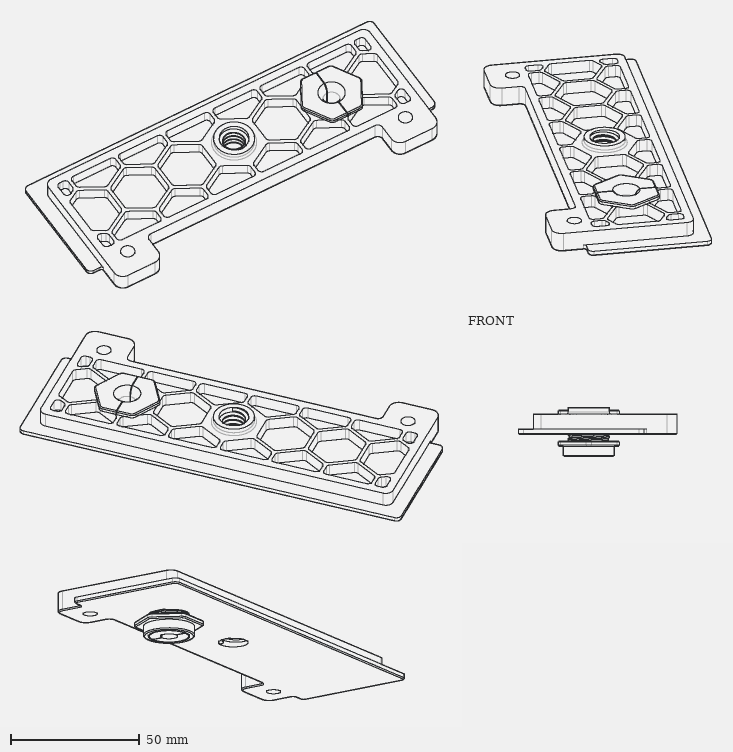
import cadquery as cq
import math

PLATE_LENGTH = 158.6
PLATE_LEFT = -27.5
PLATE_THICKNESS = 2.0
PLATE_CORNER_RADIUS = 2.0
BOTTOM_CHAMFER = 0.5

FRAME_WIDTH = 43.1
FRAME_LENGTH = 146.5
FRAME_TOP = 8.0
FRAME_CORNER_RADIUS = 3.0
FRAME_RIGHT = FRAME_WIDTH / 2

TAB_RIGHT = 34.4
TAB_LENGTH = 20.1
TAB_CORNER_RADIUS = 4.0
TAB_INNER_RADIUS = 2.0
TAB_PLATE_RADIUS = 1.0
TAB_HOLE_DIAMETER = 5.5
TAB_HOLE_X = 24.3
TAB_HOLE_Y = 63.3

POCKET_AREA_WIDTH = 36.5
POCKET_AREA_LENGTH = 139.9
POCKET_FLOOR = 3.0
CELL_ACROSS_FLATS = 20.0
RIB_THICKNESS = 1.5
CELL_CORNER_RADIUS = 1.6
CELL_PITCH = CELL_ACROSS_FLATS + RIB_THICKNESS
COLUMN_PITCH = CELL_PITCH * math.sqrt(3) / 2
MIDDLE_ROWS = (-3, -2, -1, 1, 3)
SIDE_ROWS = (-3.5, -2.5, -1.5, -0.5, 0.5, 1.5, 2.5, 3.5)

BOSS_DIAMETER = 16.0
BOSS_TOP = 10.5
BOSS_FILLET = 0.8
BOSS_MINOR_DIAMETER = 9.0
BOSS_MAJOR_DIAMETER = 11.5
BOSS_THREAD_PITCH = 2.0

CLAMP_Y = 44.4
HEX_ACROSS_FLATS = 24.0
HEX_CORNER_RADIUS = 2.0
HEX_CHAMFER = 0.5
CLAMP_HEAD_TOP = 9.5
CLAMP_MAJOR_DIAMETER = 16.2
CLAMP_MINOR_DIAMETER = 15.2
CLAMP_THREAD_PITCH = 1.9
CABLE_HOLE_DIAMETER = 6.7
CABLE_RIM_DIAMETER = 10.6
CABLE_FLARE_DEPTH = 4.0
SPLIT_GAP = 0.3
NUT_TOP = -2.5
NUT_FLANGE_THICKNESS = 2.0
NUT_COLLAR_DIAMETER = 20.0
NUT_BOTTOM = -8.5

THREAD_OVERLAP = 0.2
CREST_SHARE = 0.25
ROOT_SHARE = 0.85


def box(left, right, front, back, bottom, top):
    """Box between six coordinates."""
    return (
        cq.Workplane("XY", origin=(left, front, bottom))
        .box(right - left, back - front, top - bottom, centered=False)
    )


def cylinder(diameter, bottom, top, x=0.0, y=0.0):
    """Upright cylinder between two heights."""
    return cq.Workplane("XY", origin=(x, y, bottom)).circle(diameter / 2).extrude(top - bottom)


def hexagon(across_flats, corner_radius, bottom, top):
    """Hexagonal prism on the Z axis with rounded corners that point to +X and -X."""
    return (
        cq.Workplane("XY", origin=(0, 0, bottom))
        .polygon(6, across_flats * 2 / math.sqrt(3))
        .extrude(top - bottom)
        .edges("|Z").fillet(corner_radius)
    )


def helical_ridge(base_radius, tip_radius, pitch, bottom, top):
    """Thread profile swept along a helix from its base radius to its tip radius."""
    half_base = pitch * ROOT_SHARE / 2
    half_tip = pitch * CREST_SHARE / 2
    helix = cq.Wire.makeHelix(pitch, top - bottom, base_radius, center=cq.Vector(0, 0, bottom))
    profile = (
        cq.Workplane("XZ")
        .polyline([
            (base_radius, bottom - half_base),
            (tip_radius, bottom - half_tip),
            (tip_radius, bottom + half_tip),
            (base_radius, bottom + half_base),
        ])
        .close()
    )
    return profile.sweep(cq.Workplane(helix), isFrenet=True)


def honeycomb_pockets():
    """Hexagonal cells clipped to the pocket area, with rounded upright corners."""
    centres = [(0.0, row * CELL_PITCH) for row in MIDDLE_ROWS]
    centres += [(side * COLUMN_PITCH, row * CELL_PITCH) for side in (-1, 1) for row in SIDE_ROWS]
    area = box(
        -POCKET_AREA_WIDTH / 2, POCKET_AREA_WIDTH / 2,
        -POCKET_AREA_LENGTH / 2, POCKET_AREA_LENGTH / 2,
        POCKET_FLOOR, FRAME_TOP,
    )
    cells = (
        cq.Workplane("XY", origin=(0, 0, POCKET_FLOOR))
        .pushPoints(centres)
        .polygon(6, CELL_ACROSS_FLATS * 2 / math.sqrt(3))
        .extrude(FRAME_TOP - POCKET_FLOOR)
    )
    return cells.intersect(area).edges("|Z").fillet(CELL_CORNER_RADIUS)


def make_tab(side):
    """Mounting tab at one end of the frame; side is +1 or -1 along Y."""
    outer_y = side * FRAME_LENGTH / 2
    inner_y = side * (FRAME_LENGTH / 2 - TAB_LENGTH)
    tab = box(0, TAB_RIGHT, min(outer_y, inner_y), max(outer_y, inner_y), 0, FRAME_TOP)
    return tab.edges("|Z and >X").fillet(TAB_CORNER_RADIUS)


def upright_edges_at(body, x, y):
    """Upright edges of the body that stand at one point of the XY plane."""
    reach = 0.02
    corner = cq.selectors.BoxSelector((x - reach, y - reach, -1.6), (x + reach, y + reach, FRAME_TOP + 1.6))
    return body.edges("|Z").edges(corner)


def make_base():
    """Plate, ribbed frame, mounting tabs and threaded boss as one solid."""
    plate = box(PLATE_LEFT, FRAME_RIGHT, -PLATE_LENGTH / 2, PLATE_LENGTH / 2, 0, PLATE_THICKNESS)
    plate = plate.edges("|Z").fillet(PLATE_CORNER_RADIUS)
    frame = box(-FRAME_RIGHT, FRAME_RIGHT, -FRAME_LENGTH / 2, FRAME_LENGTH / 2, 0, FRAME_TOP)
    frame = frame.edges("|Z and <X").fillet(FRAME_CORNER_RADIUS)
    base = plate.union(frame)
    for side in (-1, 1):
        base = base.union(make_tab(side))
    for side in (-1, 1):
        inner_y = side * (FRAME_LENGTH / 2 - TAB_LENGTH)
        base = upright_edges_at(base, FRAME_RIGHT, inner_y).fillet(TAB_INNER_RADIUS)
        base = upright_edges_at(base, FRAME_RIGHT, side * FRAME_LENGTH / 2).fillet(TAB_PLATE_RADIUS)
    base = base.faces("<Z").edges().chamfer(BOTTOM_CHAMFER)

    base = base.cut(honeycomb_pockets())
    base = base.union(cylinder(BOSS_DIAMETER, 0, BOSS_TOP))
    boss_foot = cq.selectors.BoxSelector(
        (-BOSS_DIAMETER, -BOSS_DIAMETER, FRAME_TOP - 0.02),
        (BOSS_DIAMETER, BOSS_DIAMETER, FRAME_TOP + 0.02),
    )
    base = base.edges("%CIRCLE").edges(boss_foot).edges(cq.selectors.RadiusNthSelector(-1)).fillet(BOSS_FILLET)

    for side in (-1, 1):
        base = base.cut(cylinder(TAB_HOLE_DIAMETER, 0, FRAME_TOP, TAB_HOLE_X, side * TAB_HOLE_Y))
    base = base.cut(cylinder(CLAMP_MAJOR_DIAMETER, 0, FRAME_TOP, 0, CLAMP_Y))
    return add_boss_thread(base)


def add_boss_thread(base):
    """Through hole in the boss with a helical ridge that stands inwards from its wall."""
    ridge_end = BOSS_THREAD_PITCH * ROOT_SHARE / 2 + THREAD_OVERLAP
    ridge = helical_ridge(
        BOSS_MAJOR_DIAMETER / 2 + THREAD_OVERLAP, BOSS_MINOR_DIAMETER / 2,
        BOSS_THREAD_PITCH, ridge_end, BOSS_TOP - ridge_end,
    )
    return base.cut(cylinder(BOSS_MAJOR_DIAMETER, 0, BOSS_TOP)).union(ridge)


def hexagonal_flange(bottom, top):
    """Hexagon shared by the clamp head and the nut, with its corners towards +Y and -Y."""
    return hexagon(HEX_ACROSS_FLATS, HEX_CORNER_RADIUS, bottom, top).rotate((0, 0, 0), (0, 0, 1), 90)


def cable_hole():
    """Round hole through the clamp that flares out at the top along a circular arc."""
    hole_radius = CABLE_HOLE_DIAMETER / 2
    rim_radius = CABLE_RIM_DIAMETER / 2
    flare_width = rim_radius - hole_radius
    arc_radius = (flare_width**2 + CABLE_FLARE_DEPTH**2) / (2 * flare_width)
    flare_bottom = CLAMP_HEAD_TOP - CABLE_FLARE_DEPTH
    return (
        cq.Workplane("XZ")
        .moveTo(0, NUT_BOTTOM)
        .lineTo(hole_radius, NUT_BOTTOM)
        .lineTo(hole_radius, flare_bottom)
        .radiusArc((rim_radius, CLAMP_HEAD_TOP), arc_radius)
        .lineTo(0, CLAMP_HEAD_TOP)
        .close()
        .revolve(360, (0, 0, 0), (0, 1, 0))
    )


def make_clamp():
    """Whole clamp before it is split: hexagonal head, threaded shank and flared cable hole."""
    head = hexagonal_flange(FRAME_TOP, CLAMP_HEAD_TOP).faces(">Z").edges().chamfer(HEX_CHAMFER)
    shank = cylinder(CLAMP_MINOR_DIAMETER, NUT_BOTTOM, FRAME_TOP)
    ridge = helical_ridge(
        CLAMP_MINOR_DIAMETER / 2 - THREAD_OVERLAP, CLAMP_MAJOR_DIAMETER / 2,
        CLAMP_THREAD_PITCH, NUT_BOTTOM + CLAMP_THREAD_PITCH, FRAME_TOP - CLAMP_THREAD_PITCH,
    )
    return head.union(shank).cut(cable_hole()).union(ridge)


def make_clamp_half(clamp, side):
    """One half of the clamp; side is +1 or -1 along Y from the split."""
    near = side * SPLIT_GAP / 2
    far = side * HEX_ACROSS_FLATS
    keep = box(
        -HEX_ACROSS_FLATS, HEX_ACROSS_FLATS, min(near, far), max(near, far), NUT_BOTTOM, CLAMP_HEAD_TOP
    )
    return clamp.intersect(keep).translate((0, CLAMP_Y, 0))


def make_nut():
    """Nut below the plate: hexagonal flange with a round collar and a plain bore."""
    flange_bottom = NUT_TOP - NUT_FLANGE_THICKNESS
    flange = hexagonal_flange(flange_bottom, NUT_TOP).faces("<Z or >Z").edges().chamfer(HEX_CHAMFER)
    collar = cylinder(NUT_COLLAR_DIAMETER, NUT_BOTTOM, flange_bottom)
    collar = collar.faces("<Z").edges().chamfer(HEX_CHAMFER)
    nut = flange.union(collar).cut(cylinder(CLAMP_MAJOR_DIAMETER, NUT_BOTTOM, NUT_TOP))
    return nut.translate((0, CLAMP_Y, 0))


base = make_base()
whole_clamp = make_clamp()
clamp_halves = [make_clamp_half(whole_clamp, side) for side in (-1, 1)]
nut = make_nut()

result = cq.Compound.makeCompound([
    base.solids().val(),
    *[half.solids().val() for half in clamp_halves],
    nut.solids().val(),
])